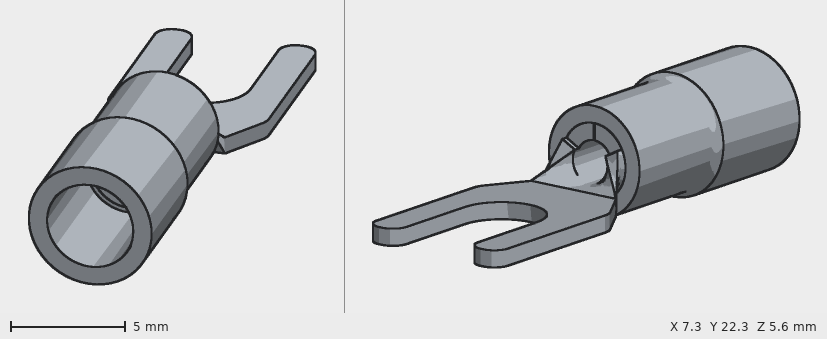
import cadquery as cq
import math

total_length = 22.3

sleeve_length = 10.88
collar_radius = 2.799
collar_length = 5.35
neck_radius = 2.52
neck_start = 5.8
entry_radius = 1.96

sheet_thickness = 0.78
barrel_radius = 1.75
barrel_bore_radius = barrel_radius - sheet_thickness
seam_width = 0.07
trough_end = 11.17
trough_edge_angle = 28.0

tongue_start = 12.33
tongue_root_width = 4.73
fork_width = 7.3
shoulder_y = 14.43
shoulder_radius = 1.0
slot_width = 3.97
slot_center_y = 17.4
tip_radius = 0.75
tongue_bottom = -barrel_radius
tongue_top = tongue_bottom + sheet_thickness


def make_sleeve():
    """Revolved sleeve with a concave blend, and a bore that steps down to hold the barrel."""
    blend_run = neck_start - collar_length
    blend_rise = collar_radius - neck_radius
    blend_radius = (blend_run**2 + blend_rise**2) / (2 * blend_rise)
    half_sweep = math.asin(blend_run / blend_radius) / 2
    blend_middle = (
        neck_radius + blend_radius * (1 - math.cos(half_sweep)),
        neck_start - blend_radius * math.sin(half_sweep),
    )
    return (
        cq.Workplane("XY")
        .moveTo(entry_radius, 0)
        .lineTo(collar_radius, 0)
        .lineTo(collar_radius, collar_length)
        .threePointArc(blend_middle, (neck_radius, neck_start))
        .lineTo(neck_radius, sleeve_length)
        .lineTo(barrel_radius, sleeve_length)
        .lineTo(barrel_radius, neck_start)
        .lineTo(entry_radius, neck_start)
        .close()
        .revolve(360, (0, 0, 0), (0, 1, 0))
    )


def trough_edges(y):
    """Open-topped channel section at Y: outer arc, radial edge, inner arc, radial edge."""
    angle = math.radians(trough_edge_angle)

    def section_point(radius, side):
        return cq.Vector(side * radius * math.cos(angle), y, radius * math.sin(angle))

    outer_left = section_point(barrel_radius, -1)
    outer_right = section_point(barrel_radius, 1)
    inner_right = section_point(barrel_bore_radius, 1)
    inner_left = section_point(barrel_bore_radius, -1)
    outer_bottom = cq.Vector(0, y, -barrel_radius)
    inner_bottom = cq.Vector(0, y, -barrel_bore_radius)
    return [
        cq.Edge.makeThreePointArc(outer_left, outer_bottom, outer_right),
        cq.Edge.makeLine(outer_right, inner_right),
        cq.Edge.makeThreePointArc(inner_right, inner_bottom, inner_left),
        cq.Edge.makeLine(inner_left, outer_left),
    ]


def tongue_root_edges():
    """Rectangular section of the tongue root: bottom, right, top, left."""
    half_root = tongue_root_width / 2
    corners = [
        cq.Vector(-half_root, tongue_start, tongue_bottom),
        cq.Vector(half_root, tongue_start, tongue_bottom),
        cq.Vector(half_root, tongue_start, tongue_top),
        cq.Vector(-half_root, tongue_start, tongue_top),
    ]
    next_corners = corners[1:] + corners[:1]
    return [cq.Edge.makeLine(start, end) for start, end in zip(corners, next_corners)]


def face_within(edges):
    return cq.Face.makeFromWires(cq.Wire.assembleEdges(edges))


def make_barrel():
    """Rolled tube with a seam along its top."""
    tube = (
        cq.Workplane("XZ", origin=(0, neck_start, 0))
        .circle(barrel_radius)
        .circle(barrel_bore_radius)
        .extrude(neck_start - sleeve_length)
    )
    seam = cq.Workplane("XY").box(
        seam_width, sleeve_length, barrel_radius, centered=(True, False, False)
    )
    return tube.cut(seam)


def make_trough():
    section = face_within(trough_edges(sleeve_length))
    run = cq.Vector(0, trough_end - sleeve_length, 0)
    return cq.Workplane(cq.Solid.extrudeLinear(section, run))


def make_transition():
    """Solid with ruled sides that flattens the trough into the tongue root."""
    start_edges = trough_edges(trough_end)
    end_edges = tongue_root_edges()
    sides = [cq.Face.makeRuledSurface(start, end) for start, end in zip(start_edges, end_edges)]
    ends = [face_within(start_edges), face_within(end_edges)]
    return cq.Workplane(cq.Solid.makeSolid(cq.Shell.makeShell(sides + ends)).fix())


def make_tongue():
    """Flat fork with tapered shoulders, a round-bottomed slot and rounded tips."""
    half_root = tongue_root_width / 2
    half_fork = fork_width / 2
    half_slot = slot_width / 2
    fork = (
        cq.Workplane("XY", origin=(0, 0, tongue_bottom))
        .moveTo(-half_root, tongue_start)
        .lineTo(half_root, tongue_start)
        .lineTo(half_fork, shoulder_y)
        .lineTo(half_fork, total_length)
        .lineTo(half_slot, total_length)
        .lineTo(half_slot, slot_center_y)
        .threePointArc((0, slot_center_y - half_slot), (-half_slot, slot_center_y))
        .lineTo(-half_slot, total_length)
        .lineTo(-half_fork, total_length)
        .lineTo(-half_fork, shoulder_y)
        .close()
        .extrude(sheet_thickness)
    )
    tip_edges = cq.selectors.BoxSelector(
        (-fork_width, total_length - tip_radius, -collar_radius),
        (fork_width, total_length + tip_radius, collar_radius),
    )
    shoulder_edges = cq.selectors.BoxSelector(
        (-fork_width, shoulder_y - shoulder_radius, -collar_radius),
        (fork_width, shoulder_y + shoulder_radius, collar_radius),
    )
    fork = fork.edges("|Z").edges(tip_edges).fillet(tip_radius)
    return fork.edges("|Z").edges(shoulder_edges).fillet(shoulder_radius)


def make_terminal():
    """One piece of sheet metal; the barrel and trough keep separate coaxial faces."""
    open_end = make_trough().union(make_transition()).union(make_tongue())
    return make_barrel().union(open_end, clean=False)


sleeve = make_sleeve()
terminal = make_terminal()
result = cq.Compound.makeCompound([sleeve.val(), terminal.solids().val()])